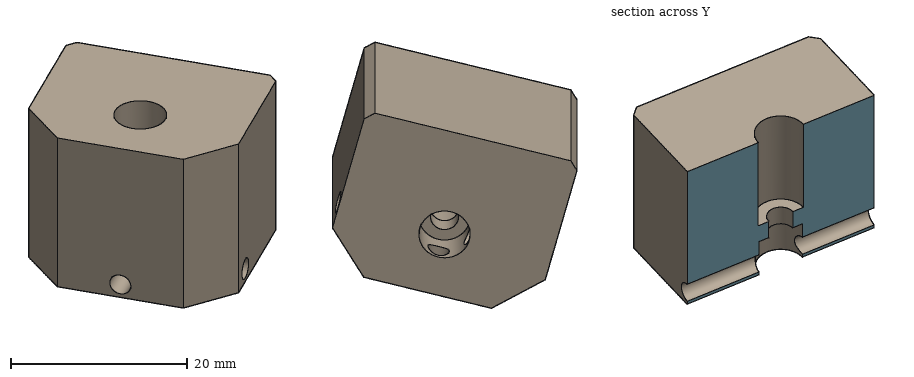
import cadquery as cq

width = 25
depth = 20
height = 20
front_chamfer = 5
back_chamfer = 1

bore_to_front = 7.5
upper_bore_diameter = 6
lower_bore_diameter = 5.8
through_diameter = 3.2
lower_bore_depth = 5
web_thickness = 2.5
web_top = lower_bore_depth + web_thickness

cross_diameter = 2.5
cross_height = 1.75

front_y = -bore_to_front


def make_block():
    block = cq.Workplane("XY").box(width, depth, height, centered=(True, False, False))
    block = block.translate((0, front_y, 0))
    block = block.faces("<Y").edges("|Z").chamfer(front_chamfer)
    return block.faces(">Y").edges("|Z").chamfer(back_chamfer)


def vertical_cylinder(diameter, bottom, top):
    return cq.Workplane("XY").workplane(offset=bottom).circle(diameter / 2).extrude(top - bottom)


def side_hole():
    """Hole along X that passes through both sides and crosses the bore axis."""
    plane = cq.Workplane("YZ", origin=(-width / 2, 0, cross_height))
    return plane.circle(cross_diameter / 2).extrude(width)


def front_hole():
    """Hole along Y from the front face to the bore axis."""
    plane = cq.Workplane("XZ", origin=(0, 0, cross_height))
    return plane.circle(cross_diameter / 2).extrude(bore_to_front)


result = (
    make_block()
    .cut(vertical_cylinder(through_diameter, 0, height))
    .cut(vertical_cylinder(upper_bore_diameter, web_top, height))
    .cut(vertical_cylinder(lower_bore_diameter, 0, lower_bore_depth))
    .cut(side_hole())
    .cut(front_hole())
)